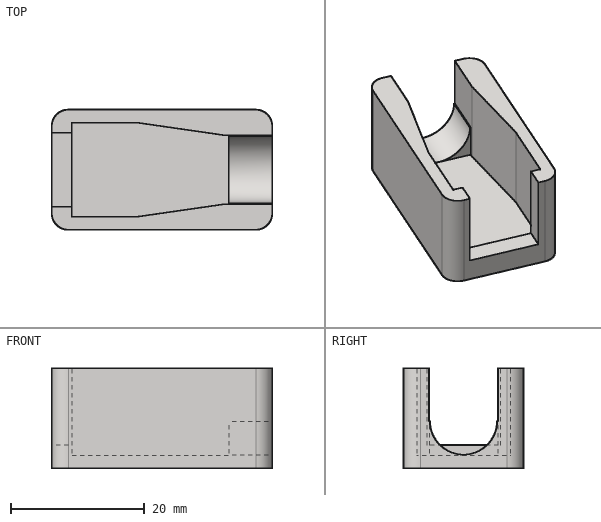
import cadquery as cq

length = 33.0
width = 18.0
height = 15.0
corner_radius = 2.5

floor_thickness = 2.0
entry_sill_height = 3.5
entry_width = 11.0
entry_wall = 3.0
pocket_width = 14.0
taper_start = 13.0
taper_end = 26.0
channel_width = 10.25

cradle_start = 26.5
cradle_radius = 5.0
cradle_axis_height = 7.05


def outer_block():
    block = cq.Workplane("XY").box(length, width, height, centered=(False, True, False))
    return block.edges("|Z").fillet(corner_radius)


def entry_slot():
    """Opening through the end wall, with a sill raised above the pocket floor."""
    slot = cq.Workplane("XY").workplane(offset=entry_sill_height)
    return slot.box(entry_wall, entry_width, height, centered=(False, True, False))


def tapered_pocket():
    """Wide pocket narrowing to the channel width, ending flat where the cradle starts."""
    outline = (
        cq.Workplane("XY")
        .workplane(offset=floor_thickness)
        .moveTo(entry_wall, 0)
        .lineTo(entry_wall, pocket_width / 2)
        .lineTo(taper_start, pocket_width / 2)
        .lineTo(taper_end, channel_width / 2)
        .lineTo(cradle_start, channel_width / 2)
        .lineTo(cradle_start, 0)
        .mirrorX()
    )
    return outline.extrude(height)


def exit_channel():
    """Straight-sided channel above the cradle, leaving a narrow ledge on each side."""
    channel = cq.Workplane("XY").workplane(offset=cradle_axis_height)
    channel = channel.box(length - cradle_start, channel_width, height, centered=(False, True, False))
    return channel.translate((cradle_start, 0, 0))


def cradle():
    """Round trough along X at the narrow end of the pocket."""
    return (
        cq.Workplane("YZ")
        .workplane(offset=cradle_start)
        .center(0, cradle_axis_height)
        .circle(cradle_radius)
        .extrude(length - cradle_start)
    )


result = (
    outer_block()
    .cut(entry_slot())
    .cut(tapered_pocket())
    .cut(exit_channel())
    .cut(cradle())
)